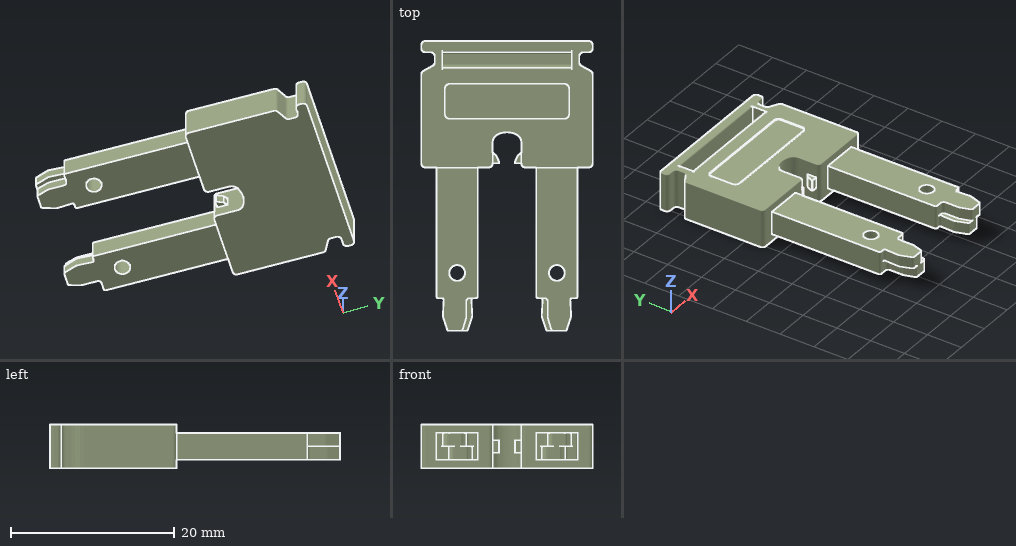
import cadquery as cq
import math


housing_width = 21.0
housing_length = 15.5
housing_thickness = 5.4
corner_radius = 0.5
rim_radius = 0.1

flange_depth = 1.4
neck_half_width = 8.85
neck_end_depth = 2.9
shoulder_depth = 3.8

notch_width = 3.5
notch_height = 4.3
notch_roof_radius = 2.6
notch_roof_corner_radius = 1.1

lug_thickness = 1.55
lug_bottom_y = 0.5
lug_tip_y = 0.62
lug_bend_y = 1.45
lug_top_y = 1.85
lug_bottom_x = 1.0
lug_tip_x = 0.92
lug_bend_x = 1.3
lug_root = 0.5

slot_length = 15.9
slot_top_y = 14.3
slot_bottom_y = 12.0
slot_depth = housing_thickness / 2
slot_lip_radius = 0.2
slot_top_floor_radius = 0.25
slot_bottom_floor_radius = 0.48
panel_length = 15.2
panel_width = 4.3
panel_center_y = 8.1
panel_corner_radius = 0.6
panel_depth = 0.15

prong_length = 20.0
prong_width = 5.1
prong_spacing = 12.2
prong_thickness = 3.3
plate_thickness = prong_thickness / 2
prong_corner_radius = 0.25
hole_diameter = 1.9
hole_y = -12.9
prong_root = 2.0

tip_spacing = 12.1
tip_shoulder_y = -16.0
tip_far_shoulder_x = 1.7
tip_far_bend_x = 1.82
tip_far_bend_y = -18.2
tip_far_end_x = 1.22
tip_near_x = 1.06
tip_near_bend_y = -18.42
tip_near_end_x = 0.57
tip_bend_radius = 1.0
tip_far_shoulder_radius = 0.2
tip_near_shoulder_radius = 0.4
tip_corner_radius = 0.25

half_width = housing_width / 2
half_thickness = housing_thickness / 2
half_notch = notch_width / 2


def vertical_edges_at(x, y):
    """Selector for the Z-parallel edges at (x, y)."""
    margin = 0.01
    return cq.selectors.BoxSelector(
        (x - margin, y - margin, -housing_thickness),
        (x + margin, y + margin, housing_thickness),
    )


def make_housing():
    flange_y = housing_length - flange_depth
    neck_end_y = housing_length - neck_end_depth
    shoulder_y = housing_length - shoulder_depth
    roof_drop = notch_roof_radius - math.sqrt(notch_roof_radius**2 - half_notch**2)
    notch_side_y = notch_height - roof_drop

    right_side = [
        (half_notch, 0),
        (half_width, 0),
        (half_width, shoulder_y),
        (neck_half_width, neck_end_y),
        (neck_half_width, flange_y),
        (half_width, flange_y),
        (half_width, housing_length),
    ]
    left_side = [(-x, y) for x, y in reversed(right_side)]
    housing = (
        cq.Workplane("XY", origin=(0, 0, -half_thickness))
        .moveTo(half_notch, notch_side_y)
        .polyline(right_side + left_side, includeCurrent=True)
        .lineTo(-half_notch, notch_side_y)
        .threePointArc((0, notch_height), (half_notch, notch_side_y))
        .close()
        .extrude(housing_thickness)
    )
    for x, y in right_side + left_side:
        housing = housing.edges(vertical_edges_at(x, y)).fillet(corner_radius)
    for x in (-half_notch, half_notch):
        housing = housing.edges(vertical_edges_at(x, notch_side_y)).fillet(notch_roof_corner_radius)
    return housing.faces(">Z").edges().fillet(rim_radius)


def make_slot_cutter():
    """Blind slot with rounded lips and rounded floor corners along its long walls."""
    floor_z = half_thickness - slot_depth
    lip_z = half_thickness - slot_lip_radius
    top_wall_y = slot_top_y - slot_lip_radius
    bottom_wall_y = slot_bottom_y + slot_lip_radius
    return (
        cq.Workplane("YZ", origin=(-slot_length / 2, 0, 0))
        .moveTo(top_wall_y - slot_top_floor_radius, floor_z)
        .lineTo(bottom_wall_y + slot_bottom_floor_radius, floor_z)
        .tangentArcPoint((bottom_wall_y, floor_z + slot_bottom_floor_radius), relative=False)
        .lineTo(bottom_wall_y, lip_z)
        .tangentArcPoint((slot_bottom_y, half_thickness), relative=False)
        .lineTo(slot_top_y, half_thickness)
        .radiusArc((top_wall_y, lip_z), -slot_lip_radius)
        .lineTo(top_wall_y, floor_z + slot_top_floor_radius)
        .tangentArcPoint((top_wall_y - slot_top_floor_radius, floor_z), relative=False)
        .close()
        .extrude(slot_length)
    )


def make_panel_cutter():
    return (
        cq.Workplane("XY", origin=(0, panel_center_y, half_thickness - panel_depth))
        .rect(panel_length, panel_width)
        .extrude(panel_depth)
        .edges("|Z")
        .fillet(panel_corner_radius)
    )


def make_lug(side):
    """Latching lug on the notch wall at side = +1 (right) or -1 (left)."""
    profile = [
        (half_notch + lug_root, lug_bottom_y),
        (lug_bottom_x, lug_bottom_y),
        (lug_tip_x, lug_tip_y),
        (lug_bend_x, lug_bend_y),
        (half_notch, lug_top_y),
        (half_notch + lug_root, lug_top_y),
    ]
    return (
        cq.Workplane("XY", origin=(0, 0, -lug_thickness / 2))
        .polyline([(side * x, y) for x, y in profile])
        .close()
        .extrude(lug_thickness)
    )


def make_plate(side, shift, bottom_z):
    """One prong plate at side = +1/-1, with its tip shifted towards X sign `shift`."""
    center_x = side * prong_spacing / 2
    tip_x = side * tip_spacing / 2
    blade_length = prong_root - tip_shoulder_y
    blade = (
        cq.Workplane("XY", origin=(center_x, tip_shoulder_y + blade_length / 2, bottom_z))
        .rect(prong_width, blade_length)
        .extrude(plate_thickness)
        .edges("|Z and <Y")
        .fillet(prong_corner_radius)
    )
    far_shoulder = (tip_x + shift * tip_far_shoulder_x, tip_shoulder_y)
    far_bend = (tip_x + shift * tip_far_bend_x, tip_far_bend_y)
    far_end = (tip_x + shift * tip_far_end_x, -prong_length)
    near_end = (tip_x - shift * tip_near_end_x, -prong_length)
    near_bend = (tip_x - shift * tip_near_x, tip_near_bend_y)
    near_shoulder = (tip_x - shift * tip_near_x, tip_shoulder_y)
    tip = (
        cq.Workplane("XY", origin=(0, 0, bottom_z))
        .polyline([far_shoulder, far_bend, far_end, near_end, near_bend, near_shoulder])
        .close()
        .extrude(plate_thickness)
    )
    plate = blade.union(tip)
    rounded_corners = [
        (far_shoulder, tip_far_shoulder_radius),
        (far_bend, tip_bend_radius),
        (far_end, tip_corner_radius),
        (near_end, tip_corner_radius),
        (near_bend, tip_bend_radius),
        (near_shoulder, tip_near_shoulder_radius),
    ]
    for corner, radius in rounded_corners:
        plate = plate.edges(vertical_edges_at(*corner)).fillet(radius)
    return plate


def make_prong(side):
    """Two plates with oppositely shifted tips and one common hole."""
    upper = make_plate(side, side, 0)
    lower = make_plate(side, -side, -plate_thickness)
    hole = (
        cq.Workplane("XY", origin=(side * prong_spacing / 2, hole_y, -plate_thickness))
        .circle(hole_diameter / 2)
        .extrude(prong_thickness)
    )
    return upper.union(lower).cut(hole)


result = make_housing().cut(make_slot_cutter()).cut(make_panel_cutter())
for side in (-1, 1):
    result = result.union(make_lug(side)).union(make_prong(side))